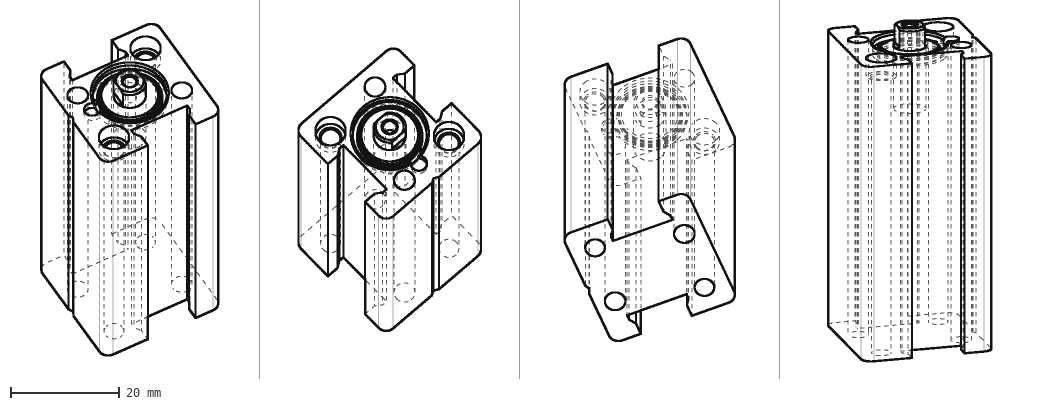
import cadquery as cq
import math

TOTAL_HEIGHT = 60.5
ROD_PROTRUSION = 3.45
BODY_WIDTH = 25.0
BODY_HEIGHT = TOTAL_HEIGHT - ROD_PROTRUSION
HALF_WIDTH = BODY_WIDTH / 2
CORNER_RADIUS = 1.9
OVERCUT = 0.6

SLOT_OFFSET = 1.8
SLOT_MOUTH_WIDTH = 10.15
SLOT_INNER_WIDTH = 11.85
SLOT_FLOOR_X = 7.85
SLOT_LIP_DEPTH = 2.4
SLOT_FLARE_DEPTH = 3.6
GROOVE_WIDTH = 1.8
GROOVE_DEPTH = 0.5

MOUNT_OFFSET = 7.75
MOUNT_DIAMETER = 3.6
MOUNT_CHAMFER_DIAMETER = 4.1
COUNTERBORE_DIAMETER = 5.6
COUNTERBORE_DEPTH = 3.5
THROUGH_X = 4.25
THROUGH_Y = 8.65
THROUGH_DIAMETER = 3.8

BORE_DIAMETER = 13.7
MOUTH_DIAMETER = 14.45
MOUTH_CHAMFER_HEIGHT = 0.4
COLLAR_DIAMETER = 11.2
COLLAR_TOP_DIAMETER = 10.45
COLLAR_CHAMFER_HEIGHT = 0.3
COLLAR_DEPTH = 0.7
SHOULDER_DIAMETER = 11.55
NOTCH_DIAMETER = 2.95
NOTCH_Y = -8.0

RING_INNER_DIAMETER = 12.1
RING_DEPTH = 1.4
RING_THICKNESS = 1.0
RING_GAP_INNER_HALF = 2.25
RING_GAP_OUTER_HALF = 3.0

ROD_DIAMETER = 6.0
ROD_TOP_CHAMFER = 0.4
ROD_INSERTION = 12.1
FLAT_WIDTH = 4.9
ROD_HOLE_DIAMETER = 2.5
ROD_HOLE_MOUTH_DIAMETER = 2.95
ROD_HOLE_DEPTH = 4.85

COLLAR_TOP = BODY_HEIGHT - COLLAR_DEPTH
RING_TOP = BODY_HEIGHT - RING_DEPTH
RING_BOTTOM = RING_TOP - RING_THICKNESS
ROD_BOTTOM = COLLAR_TOP - ROD_INSERTION


def cylinder(diameter, bottom, top, x=0, y=0):
    """Vertical cylinder between two levels."""
    return cq.Workplane("XY", origin=(x, y, bottom)).circle(diameter / 2).extrude(top - bottom)


def cone(bottom_diameter, top_diameter, bottom, top, x=0, y=0):
    """Vertical truncated cone between two levels."""
    solid = cq.Solid.makeCone(
        bottom_diameter / 2, top_diameter / 2, top - bottom, pnt=cq.Vector(x, y, bottom)
    )
    return cq.Workplane(obj=solid)


def sensor_slot():
    """Slot in the -X side, wider behind its lips."""
    lip_x = SLOT_LIP_DEPTH - HALF_WIDTH
    flare_x = SLOT_FLARE_DEPTH - HALF_WIDTH
    half_mouth = SLOT_MOUTH_WIDTH / 2
    half_inner = SLOT_INNER_WIDTH / 2
    upper = [
        (-HALF_WIDTH - OVERCUT, half_mouth),
        (lip_x, half_mouth),
        (flare_x, half_inner),
        (-SLOT_FLOOR_X, half_inner),
    ]
    lower = [(x, -y) for x, y in reversed(upper)]
    slot = cq.Workplane("XY").polyline(upper + lower).close().extrude(BODY_HEIGHT)
    return slot.translate((0, -SLOT_OFFSET, 0))


def marking_groove():
    """V groove along the middle of the -Y side."""
    points = [
        (-GROOVE_WIDTH / 2, -HALF_WIDTH),
        (0, GROOVE_DEPTH - HALF_WIDTH),
        (GROOVE_WIDTH / 2, -HALF_WIDTH),
    ]
    return cq.Workplane("XY").polyline(points).close().extrude(BODY_HEIGHT)


def mounting_hole(x, y):
    """Counterbored hole with a chamfer at the counterbore floor."""
    floor = BODY_HEIGHT - COUNTERBORE_DEPTH
    chamfer_height = (MOUNT_CHAMFER_DIAMETER - MOUNT_DIAMETER) / 2
    hole = cylinder(MOUNT_DIAMETER, 0, floor, x, y)
    hole = hole.union(cone(MOUNT_DIAMETER, MOUNT_CHAMFER_DIAMETER, floor - chamfer_height, floor, x, y))
    return hole.union(cylinder(COUNTERBORE_DIAMETER, floor, BODY_HEIGHT, x, y))


def bore_mouth():
    """Recess for the ring, chamfered at the top, with a notch for removing the ring."""
    chamfer_bottom = BODY_HEIGHT - MOUTH_CHAMFER_HEIGHT
    recess = cylinder(BORE_DIAMETER, RING_BOTTOM, BODY_HEIGHT)
    recess = recess.union(cone(BORE_DIAMETER, MOUTH_DIAMETER, chamfer_bottom, BODY_HEIGHT))
    return recess.union(cylinder(NOTCH_DIAMETER, RING_TOP, BODY_HEIGHT, y=NOTCH_Y))


def collar():
    """Guide collar with a chamfered top edge, on a slightly wider shoulder level with the ring."""
    chamfer_bottom = COLLAR_TOP - COLLAR_CHAMFER_HEIGHT
    boss = cylinder(COLLAR_DIAMETER, RING_BOTTOM, chamfer_bottom)
    boss = boss.union(cylinder(SHOULDER_DIAMETER, RING_BOTTOM, RING_TOP))
    return boss.union(cone(COLLAR_DIAMETER, COLLAR_TOP_DIAMETER, chamfer_bottom, COLLAR_TOP))


def make_housing():
    """Extruded cylinder body with its collar and the socket for the rod."""
    body = cq.Workplane("XY").rect(BODY_WIDTH, BODY_WIDTH).extrude(BODY_HEIGHT)
    body = body.edges("|Z").fillet(CORNER_RADIUS)
    body = body.cut(marking_groove()).cut(bore_mouth()).union(collar())

    for turn in (0, 180):
        for tool in (
            sensor_slot(),
            mounting_hole(-MOUNT_OFFSET, MOUNT_OFFSET),
            cylinder(THROUGH_DIAMETER, 0, BODY_HEIGHT, THROUGH_X, THROUGH_Y),
        ):
            body = body.cut(tool.rotate((0, 0, 0), (0, 0, 1), turn))
    return body.cut(cylinder(ROD_DIAMETER, ROD_BOTTOM, COLLAR_TOP))


def make_ring():
    """Open retaining ring; its gap widens outwards on the -Y side."""
    ring = cylinder(BORE_DIAMETER, RING_BOTTOM, RING_TOP)
    ring = ring.cut(cylinder(RING_INNER_DIAMETER, RING_BOTTOM, RING_TOP))

    inner_y = -math.sqrt((RING_INNER_DIAMETER / 2) ** 2 - RING_GAP_INNER_HALF**2)
    outer_y = -math.sqrt((BORE_DIAMETER / 2) ** 2 - RING_GAP_OUTER_HALF**2)
    right = [
        (RING_GAP_INNER_HALF, inner_y),
        (RING_GAP_OUTER_HALF, outer_y),
        (RING_GAP_OUTER_HALF, -BORE_DIAMETER / 2),
    ]
    left = [(-x, y) for x, y in reversed(right)]
    gap = cq.Workplane("XY", origin=(0, 0, RING_BOTTOM)).polyline(right + left).close()
    return ring.cut(gap.extrude(RING_THICKNESS))


def wrench_flat():
    """Cutter for the flat on the -Y side, running out at 45 degrees at the collar."""
    flat_y = FLAT_WIDTH / 2
    rod_y = ROD_DIAMETER / 2
    runout = rod_y - flat_y
    points = [
        (-rod_y, COLLAR_TOP),
        (-flat_y, COLLAR_TOP + runout),
        (-flat_y, TOTAL_HEIGHT),
        (-rod_y, TOTAL_HEIGHT),
    ]
    return cq.Workplane("YZ").polyline(points).close().extrude(rod_y, both=True)


def make_rod():
    """Piston rod end with two wrench flats and a chamfered blind hole."""
    rod = cylinder(ROD_DIAMETER, ROD_BOTTOM, TOTAL_HEIGHT)
    rod = rod.faces(">Z").edges().chamfer(ROD_TOP_CHAMFER)
    for turn in (0, 180):
        rod = rod.cut(wrench_flat().rotate((0, 0, 0), (0, 0, 1), turn))
    hole_chamfer = (ROD_HOLE_MOUTH_DIAMETER - ROD_HOLE_DIAMETER) / 2
    rod = rod.cut(cylinder(ROD_HOLE_DIAMETER, TOTAL_HEIGHT - ROD_HOLE_DEPTH, TOTAL_HEIGHT))
    return rod.cut(
        cone(ROD_HOLE_DIAMETER, ROD_HOLE_MOUTH_DIAMETER, TOTAL_HEIGHT - hole_chamfer, TOTAL_HEIGHT)
    )


housing = make_housing()
ring = make_ring()
rod = make_rod()

result = cq.Compound.makeCompound([housing.val(), ring.val(), rod.val()])